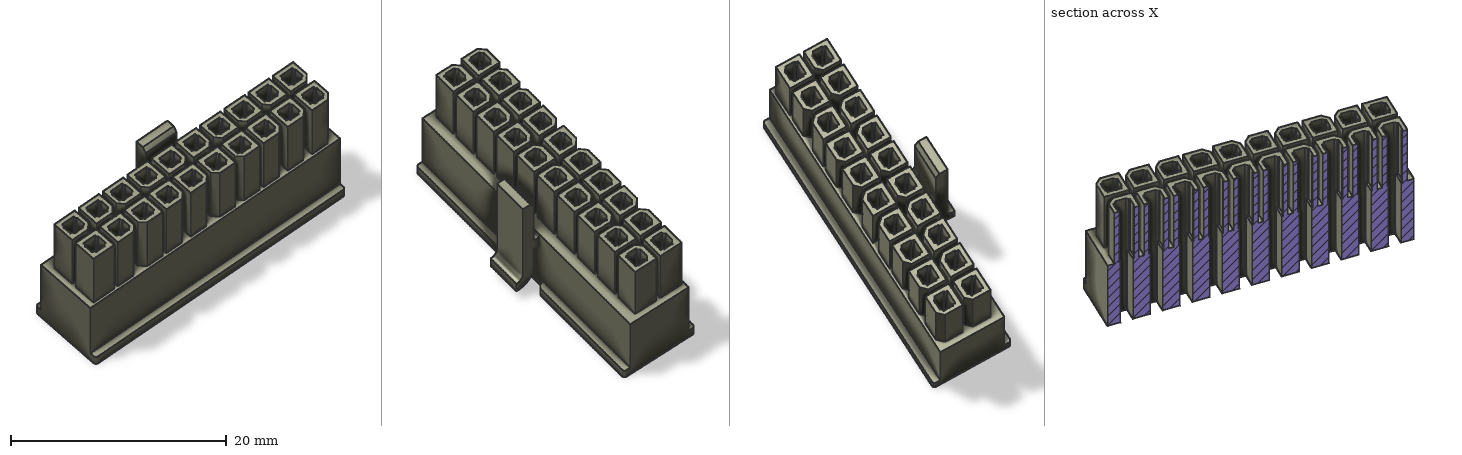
import cadquery as cq
import math


diagonal = math.sqrt(0.5)

length = 30.85
body_width = 6.95
body_height = 7.62
total_height = 14.0
lip_width = 0.75
flange_height = 1.02
flange_corner_radius = 0.28
lip_gap = 5.0

rows = 10
columns = 2
row_span = 27.0
pitch = row_span / (rows - 1)
sleeve_size = 2.53
sleeve_inset = 1.1
sleeve_height = total_height - body_height
key_chamfer = 0.62

key_patterns = [
    ["+", "-", "-", "-", "+", "+", "-", "-", "+", "+"],
    ["+", "+", "+", "-", "-", "+", "+", "-", "+", ""],
]

cavity_length = 1.57
cavity_width = 1.45
cavity_chamfer = 0.22
relief_length = 1.02
relief_width = 1.7
relief_setback = 0.3
throat_width = 1.23

latch_overhang = 2.7
latch_width = 3.83
arm_thickness = 1.3
arm_gap = 0.65
arm_top = 13.0
arm_chamfer_x = 0.4
arm_chamfer_z = 0.52
hook_inner_radius = latch_overhang - arm_gap - arm_thickness
hook_outer_radius = 1.88
hook_bottom = 1.1
hook_bend_z = hook_bottom + hook_outer_radius
bridge_bottom = 5.83
bridge_thickness = 1.3
bridge_window = 2.15


def block(x_start, x_size, y_size, z_start, z_size):
    """Box starting at x_start and z_start, centred on Y = 0."""
    return cq.Workplane("XY").box(x_size, y_size, z_size, centered=(False, True, False)).translate(
        (x_start, 0, z_start)
    )


def make_body():
    flange = block(-lip_width, body_width + 2 * lip_width, length, 0, flange_height)
    flange = flange.edges("|Z").fillet(flange_corner_radius)
    return flange.cut(make_lip_gap()).union(block(0, body_width, length, 0, body_height))


def make_lip_gap():
    """Break in the lip; its ends curve outwards from the body with quarter rounds."""
    half_gap = lip_gap / 2
    bend = lip_width * (1 - diagonal)
    return (
        cq.Workplane("XY")
        .moveTo(0, -half_gap)
        .threePointArc((-lip_width + bend, -half_gap - bend), (-lip_width, -half_gap - lip_width))
        .lineTo(-lip_width, half_gap + lip_width)
        .threePointArc((-lip_width + bend, half_gap + bend), (0, half_gap))
        .close()
        .extrude(flange_height)
    )


def make_sleeve(key):
    sleeve = cq.Workplane("XY").workplane(offset=body_height).rect(sleeve_size, sleeve_size)
    sleeve = sleeve.extrude(sleeve_height)
    if key == "+":
        sleeve = sleeve.edges("|Z and >X and >Y").chamfer(key_chamfer)
    elif key == "-":
        sleeve = sleeve.edges("|Z and >X and <Y").chamfer(key_chamfer)
    return sleeve


def make_cavity():
    """Through passage: keyed cavity with side reliefs in the sleeve, narrower throat in the body."""
    profile = cq.Workplane("XY").box(
        cavity_length, cavity_width, total_height, centered=(True, True, False)
    )
    profile = profile.edges("|Z and >X").chamfer(cavity_chamfer)
    throat = profile.intersect(block(-cavity_length / 2, cavity_length, throat_width, 0, body_height))
    upper = profile.intersect(
        block(-cavity_length / 2, cavity_length, cavity_width, body_height, sleeve_height)
    )
    relief_start = -cavity_length / 2 + relief_setback
    relief = block(relief_start, relief_length, relief_width, body_height, sleeve_height)
    return upper.union(relief).union(throat)


def make_latch_arm():
    """Upright arm whose lower end curves away from the body into a hook."""
    tip_x = -latch_overhang
    inner_x = -arm_gap
    outer_x = inner_x - arm_thickness
    outer_bend_x = inner_x - hook_outer_radius
    return (
        cq.Workplane("XZ")
        .moveTo(outer_x, arm_top)
        .lineTo(inner_x - arm_chamfer_x, arm_top)
        .lineTo(inner_x, arm_top - arm_chamfer_z)
        .lineTo(inner_x, hook_bend_z)
        .threePointArc(
            (outer_bend_x + hook_outer_radius * diagonal, hook_bend_z - hook_outer_radius * diagonal),
            (outer_bend_x, hook_bottom),
        )
        .lineTo(tip_x, hook_bottom)
        .lineTo(tip_x, hook_bend_z - hook_inner_radius)
        .threePointArc(
            (tip_x + hook_inner_radius * diagonal, hook_bend_z - hook_inner_radius * diagonal),
            (outer_x, hook_bend_z),
        )
        .close()
        .extrude(latch_width / 2, both=True)
    )


def make_bridges():
    """Two webs joining arm and body, with a half-round trough along their top."""
    trough_radius = arm_gap / 2
    web_height = bridge_thickness + trough_radius
    webs = block(-arm_gap, arm_gap, latch_width, bridge_bottom, web_height)
    trough = (
        cq.Workplane("XZ")
        .center(-trough_radius, bridge_bottom + web_height)
        .circle(trough_radius)
        .extrude(latch_width / 2, both=True)
    )
    window = block(-arm_gap, arm_gap, bridge_window, bridge_bottom, web_height)
    return webs.cut(trough).cut(window)


result = make_body().union(make_latch_arm()).union(make_bridges())

cavity = make_cavity()
for column in range(columns):
    x = sleeve_inset + sleeve_size / 2 + column * pitch
    for row in range(rows):
        y = row_span / 2 - row * pitch
        sleeve = make_sleeve(key_patterns[column][row])
        result = result.union(sleeve.translate((x, y, 0)))
        result = result.cut(cavity.translate((x, y, 0)))